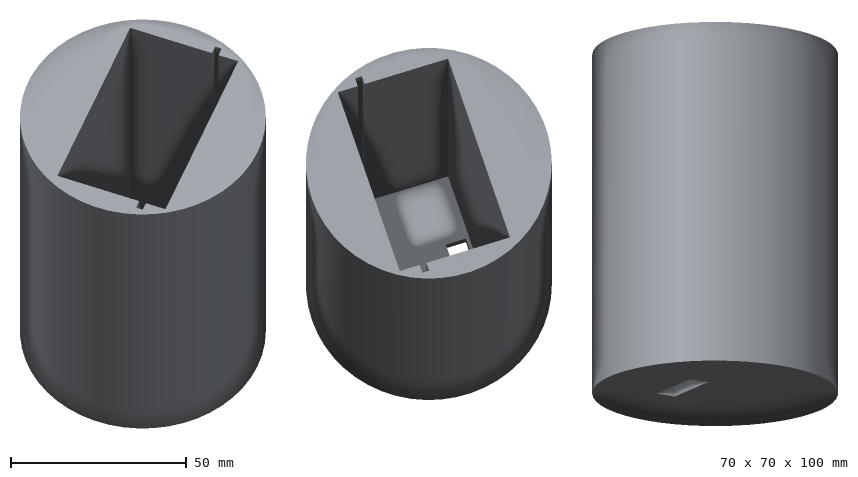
import cadquery as cq

diameter = 70
height = 100
floor_thickness = 3

pocket_length_x = 33
pocket_width_y = 57
pocket_min_x = -15

groove_width = 2
groove_depth = 2.5
groove_center_x = 11

opening_length_x = 6
opening_width_y = 18
opening_min_x = pocket_min_x + 1


def box_cut(min_x, length_x, width_y, bottom_z):
    """Block centred on Y, running from bottom_z up to the top face."""
    return (
        cq.Workplane("XY", origin=(min_x, 0, bottom_z))
        .box(length_x, width_y, height - bottom_z, centered=(False, True, False))
    )


body = cq.Workplane("XY").circle(diameter / 2).extrude(height)
pocket = box_cut(pocket_min_x, pocket_length_x, pocket_width_y, floor_thickness)

grooves = box_cut(
    groove_center_x - groove_width / 2,
    groove_width,
    pocket_width_y + 2 * groove_depth,
    floor_thickness,
)
floor_opening = box_cut(opening_min_x, opening_length_x, opening_width_y, 0)

result = body.cut(pocket).cut(grooves).cut(floor_opening)